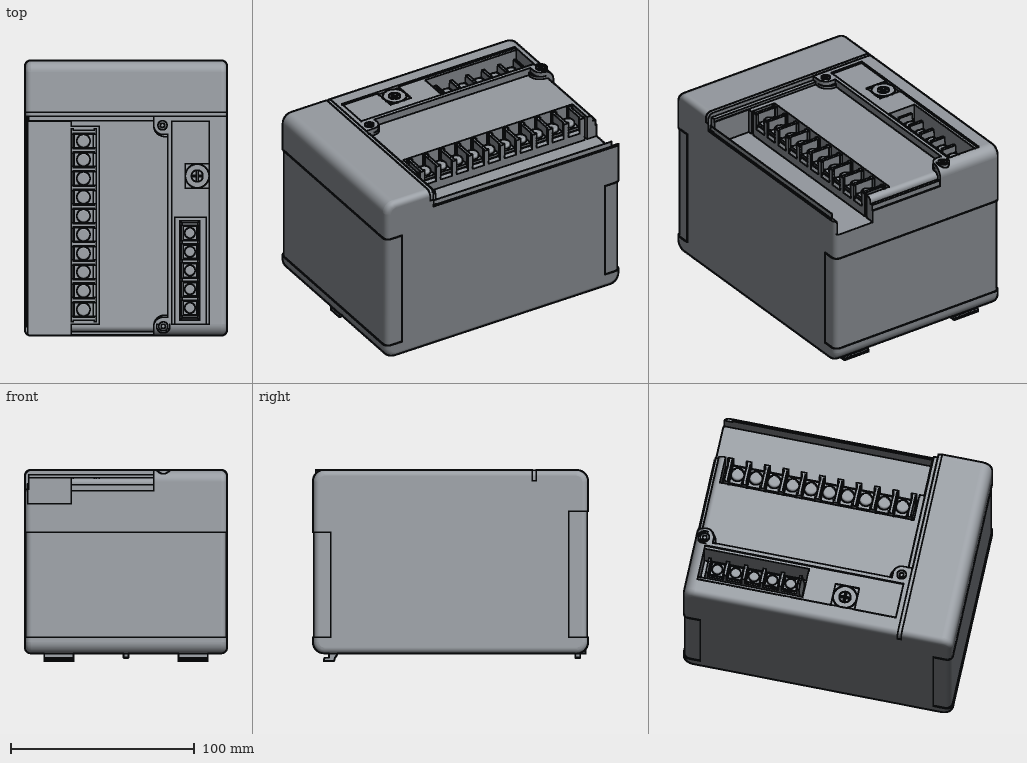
import cadquery as cq
WIDTH = 110.2
DEPTH = 150.0
HEIGHT = 100.0
EDGE_RADIUS = 6.3
SIDE_RADIUS = 3.3
MARGIN = 7.5

WAIST_INSET = 0.5
WAIST_BOTTOM = 8.8
FRONT_WAIST_TOP = 66.0
FRONT_WAIST_WRAP = 9.9
BACK_WAIST_TOP = 77.4
BACK_WAIST_WRAP = 10.5

BAND_FRONT = 119.5
BAND_WIDTH = 2.1
BAND_DROP = 6.0
BAND_DEPTH = 0.1

LEDGE_DEPTH = 2.7
LEDGE_RIGHT = 70.2
LEDGE_LEFT = 2.2
PLATFORM_DEPTH = 4.3
PLATFORM_BACK = 117.1
PLATFORM_RIGHT = 77.8

BACK_SCREW = (75.0, 114.6)
FRONT_SCREW = (75.5, 5.1)
EAR_RADIUS = 5.0
EAR_STEP = 1.2
SCREW_HEAD_DIAMETER = 5.0
SCREW_HEAD_DEPTH = 0.5
SCREW_SOCKET_DIAMETER = 2.4
SCREW_SOCKET_DEPTH = 0.9
BOSS_RADIUS = 3.6

NOSE_SETBACK = 2.2
NOSE_RADIUS = 2.8
NOSE_LEDGE_DEPTH = 8.1
LIP_SETBACK = 0.6
LIP_DEPTH = 11.4

CHANNEL_DEPTH = 18.6
CHANNEL_BACK = 116.7
CHANNEL_RIGHT = 25.2
WALL_THICKNESS = 1.6
WALL_TOP_DEPTH = 10.5
RIDGE_DEPTH = 7.6
RIDGE_FOOT = 1.2
RIDGE_CREST = 1.5
RIDGE_FRONT = 5.0

PITCH = 10.2
TERMINALS = 10
BLOCK_CENTRE_Y = 60.1
BLOCK_WIDTH = 13.8
BARRIER_THICKNESS = 1.6
FLANGE_WIDTH = 3.0
FLANGE_DEPTH = 1.2
SLOT_GAP = 1.5
RAMP_BOTTOM = 5.1
SEAT_HEIGHT = 6.9
PLATE_HEIGHT = 8.5
RAMP_RUN = 1.2
PLATE_INSET = 1.6
PLATE_SLOT_LENGTH = 8.7
PLATE_SLOT_WIDTH = 0.6
SCREW_OFFSET = 6.7
HEAD_DIAMETER = 7.2
HEAD_HEIGHT = 2.1
HEAD_FILLET = 1.0

PANEL_LEFT = 80.1
PANEL_RIGHT = 100.5
PANEL_BACK = 116.7
PANEL_DEPTH = 1.0

ADJUSTER_SIZE = 13.2
ADJUSTER_Y = 87.0
ADJUSTER_DEPTH = 0.7
ADJUSTER_DISC_DIAMETER = 12.9
KNOB_DIAMETER = 6.3
KNOB_SLOT_WIDTH = 0.9
KNOB_RECESS = 0.5
KNOB_SLOT_DEPTH = 1.2

POCKET_LEFT = 81.7
POCKET_RIGHT = 98.7
POCKET_BACK = 64.5
POCKET_DEPTH = 18.0
STRIP_TERMINALS = 5
STRIP_LEFT = 84.5
STRIP_RIGHT = 95.4
STRIP_CENTRE_Y = 35.5
STRIP_LENGTH = 54.3
STRIP_BASE_HEIGHT = 9.6
STRIP_TAPER_ANGLE = 5
RIB_HEIGHT = 14.7
STRIP_PLATE_SIZE = 7.2
STRIP_PLATE_THICKNESS = 1.2
STRIP_HEAD_DIAMETER = 5.7
STRIP_HEAD_HEIGHT = 1.2
STRIP_HEAD_FILLET = 0.9

HOOK_DROP = 4.2
HOOK_WIDTH = 16.0
HOOK_INSET = 10.5
PIN_DIAMETER = 2.8
PIN_LENGTH = 2.5
PIN_CHAMFER = 0.5
PIN_Y = 144.3
FOOT_BACK = 148.6
FOOT_SIZE = 9.0
FOOT_HEIGHT = 2.1

FLOOR_Z = HEIGHT - CHANNEL_DEPTH
STRIP_FLOOR_Z = HEIGHT - POCKET_DEPTH


def box(x_range, y_range, z_range):
    """Block between two values on each axis."""
    size = [high - low for low, high in (x_range, y_range, z_range)]
    corner = (x_range[0], y_range[0], z_range[0])
    return cq.Workplane("XY").box(*size, centered=False).translate(corner)


def cylinder(x, y, diameter, z_range):
    """Vertical cylinder between two heights."""
    low, high = z_range
    return cq.Workplane("XY", origin=(x, y, low)).circle(diameter / 2).extrude(high - low)


def screw_head(x, y, z, diameter, height, fillet):
    """Domed screw head standing on the height z."""
    return cylinder(x, y, diameter, (z, z + height)).faces(">Z").edges().fillet(fillet)


def rounded_case():
    case = box((0, WIDTH), (0, DEPTH), (0, HEIGHT))
    case = case.edges("|X").fillet(EDGE_RADIUS)
    return case.faces("<X or >X").edges().fillet(SIDE_RADIUS)


def waist_cutter():
    """Thin sleeves removed around the front and the back of the case."""
    everywhere = (-MARGIN, WIDTH + MARGIN)
    front = box(everywhere, (-MARGIN, FRONT_WAIST_WRAP), (WAIST_BOTTOM, FRONT_WAIST_TOP))
    back = box(everywhere, (DEPTH - BACK_WAIST_WRAP, DEPTH + MARGIN), (WAIST_BOTTOM, BACK_WAIST_TOP))
    core = box((WAIST_INSET, WIDTH - WAIST_INSET), (WAIST_INSET, DEPTH - WAIST_INSET), (0, HEIGHT))
    core = core.edges("|Z").fillet(SIDE_RADIUS)
    return front.cut(core).union(back.cut(core))


def band_cutter():
    """Shallow groove across the top and a little way down both sides."""
    y_range = (BAND_FRONT, BAND_FRONT + BAND_WIDTH)
    outer = box((-MARGIN, WIDTH + MARGIN), y_range, (HEIGHT - BAND_DROP, HEIGHT + MARGIN))
    core = box((BAND_DEPTH, WIDTH - BAND_DEPTH), y_range, (0, HEIGHT - BAND_DEPTH))
    core = core.edges("|Y and >Z").fillet(SIDE_RADIUS)
    return outer.cut(core)


def platform_cutter():
    """Ledge and platform, leaving the two stepped screw ears standing."""
    above = HEIGHT + MARGIN
    ledge_z = HEIGHT - LEDGE_DEPTH
    platform_z = HEIGHT - PLATFORM_DEPTH
    cutter = box((-MARGIN, LEDGE_RIGHT), (-MARGIN, BAND_FRONT), (ledge_z, above))
    cutter = cutter.union(box((-MARGIN, LEDGE_RIGHT), (-MARGIN, PLATFORM_BACK), (platform_z, above)))
    right_part = box(
        (LEDGE_RIGHT, PLATFORM_RIGHT), (FRONT_SCREW[1], BACK_SCREW[1]), (platform_z, above)
    )
    lower_radius = EAR_RADIUS + EAR_STEP
    for y in (BACK_SCREW[1], FRONT_SCREW[1]):
        for radius, z_range in ((lower_radius, (platform_z, ledge_z)), (EAR_RADIUS, (ledge_z, above))):
            x = LEDGE_RIGHT + radius
            ear = cylinder(x, y, 2 * radius, z_range)
            shoulder = box((x, PLATFORM_RIGHT), (y - radius, y + radius), z_range)
            right_part = right_part.cut(ear).cut(shoulder)
    return cutter.union(right_part)


def nose_cutter():
    """Removes the front edge of the platform down to its rounded, stepped outline."""
    back = NOSE_SETBACK + NOSE_RADIUS
    platform_z = HEIGHT - PLATFORM_DEPTH
    return (
        cq.Workplane("YZ", origin=(-MARGIN, 0, 0))
        .moveTo(back, platform_z)
        .radiusArc((NOSE_SETBACK, platform_z - NOSE_RADIUS), -NOSE_RADIUS)
        .lineTo(NOSE_SETBACK, HEIGHT - NOSE_LEDGE_DEPTH)
        .lineTo(LIP_SETBACK, HEIGHT - NOSE_LEDGE_DEPTH)
        .lineTo(LIP_SETBACK, HEIGHT - LIP_DEPTH)
        .lineTo(-MARGIN, HEIGHT - LIP_DEPTH)
        .lineTo(-MARGIN, HEIGHT + MARGIN)
        .lineTo(back, HEIGHT + MARGIN)
        .close()
        .extrude(LEDGE_RIGHT + MARGIN)
    )


def channel_cutter():
    """Wiring channel, the slot for the terminal block, and the lowered outer wall."""
    above = HEIGHT + MARGIN
    channel = box((WALL_THICKNESS, CHANNEL_RIGHT), (-MARGIN, CHANNEL_BACK), (FLOOR_Z, above))
    half_slot = (TERMINALS * PITCH + FLANGE_WIDTH) / 2 + SLOT_GAP
    slot = box(
        (CHANNEL_RIGHT, CHANNEL_RIGHT + BLOCK_WIDTH + SLOT_GAP),
        (BLOCK_CENTRE_Y - half_slot, BLOCK_CENTRE_Y + half_slot),
        (FLOOR_Z, above),
    )
    wall_top = box((-MARGIN, LEDGE_LEFT), (-MARGIN, BAND_FRONT), (HEIGHT - WALL_TOP_DEPTH, above))
    return channel.union(slot).union(wall_top)


def wall_ridge():
    """Sloped ridge along the top of the channel's outer wall."""
    foot_z = HEIGHT - WALL_TOP_DEPTH
    crest_z = HEIGHT - RIDGE_DEPTH
    outline = [
        (RIDGE_FOOT, foot_z), (RIDGE_CREST, crest_z), (WALL_THICKNESS, crest_z), (WALL_THICKNESS, foot_z)
    ]
    ridge = cq.Workplane("XZ", origin=(0, BAND_FRONT, 0)).polyline(outline).close()
    return ridge.extrude(BAND_FRONT - RIDGE_FRONT)


def ear_screw_cutter(x, y):
    """Recess around a flush screw with its socket."""
    head_z = HEIGHT - SCREW_HEAD_DEPTH
    recess = cylinder(x, y, SCREW_HEAD_DIAMETER, (head_z, HEIGHT))
    socket = cylinder(x, y, SCREW_SOCKET_DIAMETER, (HEIGHT - SCREW_SOCKET_DEPTH, HEIGHT))
    return recess.union(socket)


def panel_cutter():
    """Shallow panel recess and the deep pocket for the small terminals."""
    above = HEIGHT + MARGIN
    panel = box((PANEL_LEFT, PANEL_RIGHT), (EDGE_RADIUS, PANEL_BACK), (HEIGHT - PANEL_DEPTH, above))
    pocket = box((POCKET_LEFT, POCKET_RIGHT), (EDGE_RADIUS, POCKET_BACK), (STRIP_FLOOR_Z, above))
    return panel.union(pocket)


def adjuster_cutter():
    """Square recess around a disc, with a cross-slotted knob in the middle."""
    x = PANEL_RIGHT - ADJUSTER_SIZE / 2
    half = ADJUSTER_SIZE / 2
    panel_z = HEIGHT - PANEL_DEPTH
    recess_z = panel_z - ADJUSTER_DEPTH
    square = box((x - half, x + half), (ADJUSTER_Y - half, ADJUSTER_Y + half), (recess_z, panel_z))
    square = square.cut(cylinder(x, ADJUSTER_Y, ADJUSTER_DISC_DIAMETER, (recess_z, panel_z)))
    cross = (
        cq.Workplane("XY", origin=(x, ADJUSTER_Y, panel_z - KNOB_SLOT_DEPTH))
        .rect(KNOB_DIAMETER, KNOB_SLOT_WIDTH)
        .extrude(KNOB_SLOT_DEPTH)
    )
    cross = cross.union(cross.rotate((x, ADJUSTER_Y, 0), (x, ADJUSTER_Y, 1), 90))
    knob = cylinder(x, ADJUSTER_Y, KNOB_DIAMETER, (panel_z - KNOB_RECESS, panel_z))
    return square.union(knob).union(cross)


def small_terminals():
    """Raised strip of terminals with tapered ribs between them."""
    middle_x = (STRIP_LEFT + STRIP_RIGHT) / 2
    width = STRIP_RIGHT - STRIP_LEFT
    base_z = STRIP_FLOOR_Z + STRIP_BASE_HEIGHT
    strip = (
        cq.Workplane("XY", origin=(middle_x, STRIP_CENTRE_Y, STRIP_FLOOR_Z))
        .rect(width, STRIP_LENGTH)
        .extrude(RIB_HEIGHT, taper=STRIP_TAPER_ANGLE)
    )
    first_terminal = STRIP_CENTRE_Y - (STRIP_TERMINALS - 1) * PITCH / 2
    half_cell = (PITCH - BARRIER_THICKNESS) / 2
    half_plate = STRIP_PLATE_SIZE / 2
    plate_z = base_z + STRIP_PLATE_THICKNESS
    for index in range(STRIP_TERMINALS):
        y = first_terminal + index * PITCH
        strip = strip.cut(
            box((STRIP_LEFT, STRIP_RIGHT), (y - half_cell, y + half_cell), (base_z, HEIGHT))
        )
        x_range = (middle_x - half_plate, middle_x + half_plate)
        strip = strip.union(box(x_range, (y - half_plate, y + half_plate), (base_z, plate_z)))
        head = screw_head(
            middle_x, y, plate_z, STRIP_HEAD_DIAMETER, STRIP_HEAD_HEIGHT, STRIP_HEAD_FILLET
        )
        strip = strip.union(head)
    return strip


def hook(x):
    """Mounting hook under the front of the case, starting at x."""
    outline = [
        (13.6, 1.5), (13.6, 0), (12.1, -2.4), (11.5, -HOOK_DROP), (6.0, -HOOK_DROP),
        (6.0, -3.1), (6.6, -2.2), (8.7, -2.2), (8.7, 1.5),
    ]
    return cq.Workplane("YZ", origin=(x, 0, 0)).polyline(outline).close().extrude(HOOK_WIDTH)


def locating_pin():
    """Pin under the back of the case, with the small foot that carries it."""
    x = WIDTH / 2
    pin = cylinder(x, PIN_Y, PIN_DIAMETER, (-PIN_LENGTH, FOOT_HEIGHT))
    pin = pin.faces("<Z").edges().chamfer(PIN_CHAMFER)
    half = FOOT_SIZE / 2
    return pin.union(box((x - half, x + half), (FOOT_BACK - FOOT_SIZE, FOOT_BACK), (0, FOOT_HEIGHT)))


def make_housing():
    body = rounded_case().cut(waist_cutter()).cut(band_cutter())
    body = body.cut(platform_cutter()).cut(nose_cutter()).cut(channel_cutter())
    body = body.union(wall_ridge())
    body = body.union(cylinder(*FRONT_SCREW, 2 * BOSS_RADIUS, (HEIGHT - EDGE_RADIUS, HEIGHT)))
    for x, y in (BACK_SCREW, FRONT_SCREW):
        body = body.cut(ear_screw_cutter(x, y))
    body = body.cut(panel_cutter()).cut(adjuster_cutter()).union(small_terminals())
    for x in (HOOK_INSET, WIDTH - HOOK_INSET - HOOK_WIDTH):
        body = body.union(hook(x))
    return body.union(locating_pin())


def barrier(y):
    """Upright between two terminals: a thin web with a wider flange at each end."""
    top_z = HEIGHT - PLATFORM_DEPTH
    right = CHANNEL_RIGHT + BLOCK_WIDTH
    web_y = (y - BARRIER_THICKNESS / 2, y + BARRIER_THICKNESS / 2)
    flange_y = (y - FLANGE_WIDTH / 2, y + FLANGE_WIDTH / 2)
    upright = box((CHANNEL_RIGHT, right), web_y, (FLOOR_Z, top_z))
    upright = upright.union(box((CHANNEL_RIGHT, CHANNEL_RIGHT + FLANGE_DEPTH), flange_y, (FLOOR_Z, top_z)))
    return upright.union(box((right - FLANGE_DEPTH, right), flange_y, (FLOOR_Z, top_z)))


def plate_slots(y):
    """Narrow slots in the contact plates, one on each side of the barrier at y."""
    half_length = PLATE_SLOT_LENGTH / 2
    half_width = BARRIER_THICKNESS / 2 + PLATE_SLOT_WIDTH
    middle_x = CHANNEL_RIGHT + BLOCK_WIDTH / 2
    return box(
        (middle_x - half_length, middle_x + half_length),
        (y - half_width, y + half_width),
        (FLOOR_Z + SEAT_HEIGHT, FLOOR_Z + PLATE_HEIGHT),
    )


def make_terminal_block():
    """Barrier strip standing on the channel floor, with one screw per terminal."""
    length = TERMINALS * PITCH
    start = BLOCK_CENTRE_Y - length / 2
    section = [
        (0, 0), (0, RAMP_BOTTOM), (RAMP_RUN, SEAT_HEIGHT), (PLATE_INSET, SEAT_HEIGHT),
        (PLATE_INSET, PLATE_HEIGHT), (BLOCK_WIDTH - PLATE_INSET, PLATE_HEIGHT),
        (BLOCK_WIDTH - PLATE_INSET, SEAT_HEIGHT), (BLOCK_WIDTH, SEAT_HEIGHT), (BLOCK_WIDTH, 0),
    ]
    block = (
        cq.Workplane("XZ", origin=(CHANNEL_RIGHT, start + length, FLOOR_Z))
        .polyline(section)
        .close()
        .extrude(length)
    )
    for index in range(TERMINALS + 1):
        y = start + index * PITCH
        block = block.cut(plate_slots(y)).union(barrier(y))
    for index in range(TERMINALS):
        y = start + (index + 0.5) * PITCH
        x = CHANNEL_RIGHT + SCREW_OFFSET
        head = screw_head(x, y, FLOOR_Z + PLATE_HEIGHT, HEAD_DIAMETER, HEAD_HEIGHT, HEAD_FILLET)
        block = block.union(head)
    return block


housing = make_housing()
terminal_block = make_terminal_block()
result = cq.Compound.makeCompound([housing.val(), terminal_block.val()])